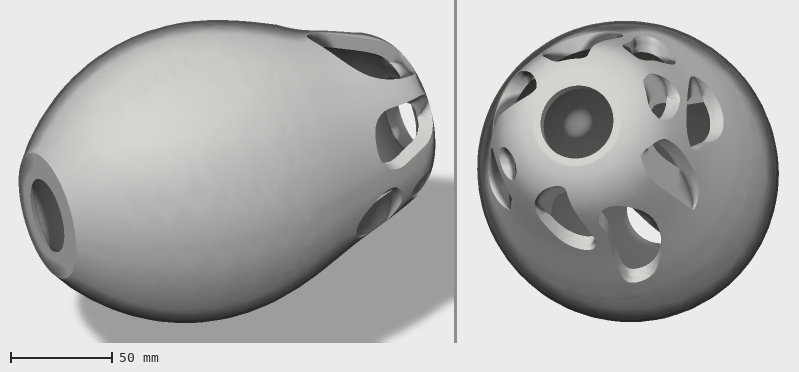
import cadquery as cq
import math

LENGTH = 201.3
PROFILE = [
    (17.5, -9.0), (32.2, 0), (52.3, 20.5), (65.2, 42.3), (73.77, 82.5), (70.9, 107.9), (64.0, 129.8),
    (55.5, 151.5), (48.1, 173.3), (44.3, 183.2), (41.7, 188.4), (36.2, 194.8), (29.8, 198.9), (22.1, 201.3),
]
WALL = 7.5
NECK_BORE_DIAMETER = 36.8

WINDOW_Y = 161.0
CAVITY_STATIONS = 24
CUTTER_LENGTH = 80.5


def outside_curve():
    points = [cq.Vector(radius, y) for radius, y in PROFILE]
    return cq.Edge.makeSpline(points)


def cavity_curve():
    """Outside profile moved inwards, square to itself, by the wall."""
    outside = outside_curve()
    points = []
    for station in range(CAVITY_STATIONS + 1):
        place = station / CAVITY_STATIONS
        along = outside.tangentAt(place).normalized()
        inwards = cq.Vector(-along.y, along.x)
        points.append(outside.positionAt(place) + inwards * WALL)
    return cq.Edge.makeSpline(points)


def turn(curve):
    """Solid of revolution about the Y axis inside a profile curve, trimmed at the foot plane."""
    start = curve.startPoint()
    end = curve.endPoint()
    on_axis = [cq.Vector(0, end.y), cq.Vector(0, start.y)]
    outline = cq.Wire.assembleEdges([
        curve,
        cq.Edge.makeLine(end, on_axis[0]),
        cq.Edge.makeLine(on_axis[0], on_axis[1]),
        cq.Edge.makeLine(on_axis[1], start),
    ])
    solid = cq.Workplane("XY").add(outline).toPending().revolve(360, (0, 0, 0), (0, 1, 0))
    above_foot = cq.Workplane("XZ").rect(2 * LENGTH, 2 * LENGTH).extrude(-2 * LENGTH)
    return solid.intersect(above_foot)


def window(side, tilt, floor_distance, outline):
    """Prism from a window floor outwards.

    The floor leans with the neck by tilt degrees, floor_distance from the axis.
    Outline points are (distance across the neck along +X or +Z, distance up the neck).
    """
    out_x, out_z = side
    lean = math.radians(tilt)
    normal = cq.Vector(out_x * math.cos(lean), math.sin(lean), out_z * math.cos(lean))
    handed = out_z - out_x
    across = cq.Vector(abs(out_z), 0, abs(out_x)) * handed
    floor = cq.Plane(
        origin=cq.Vector(0, WINDOW_Y, 0) + normal * floor_distance,
        xDir=across,
        normal=normal,
    )
    points = [(handed * sideways, up) for sideways, up in outline]
    return cq.Workplane(floor).spline(points, periodic=True).close().extrude(CUTTER_LENGTH)


WINDOW_SIDES = [
    ((-1, 0), 17.0, 39.7, [
        [(25.8, 18.1), (26.2, 7.6), (23.1, -0.5), (18.5, -2.8), (11.5, 0.5), (3.5, 9.0),
         (1.2, 14.7), (6.0, 21.7), (14.0, 22.3), (22.5, 21.0)],
        [(32.2, -28.8), (27.2, -36.8), (17.5, -40.7), (7.5, -39.0), (-0.2, -31.6), (-4.6, -21.3),
         (-8.3, -11.7), (-2.2, -5.5), (5.0, -4.8), (19.1, -11.3), (27.8, -19.1)],
        [(-7.6, 10.9), (-9.7, 1.8), (-16.3, -13.7), (-24.4, -24.5), (-35.0, -28.2), (-36.5, -26.2),
         (-33.5, -10.3), (-29.2, 10.5), (-23.8, 20.1), (-17.7, 24.0), (-12.7, 21.5)],
    ]),
    ((0, 1), 10.0, 33.5, [
        [(-24.8, 16.3), (-18.5, 11.3), (-19.0, -6.6), (-19.5, -24.8), (-24.2, -29.5), (-32.8, -25.5),
         (-39.2, -16.0), (-36.8, -3.5), (-31.8, 7.6)],
        [(-4.5, 27.5), (-7.5, 12.9), (-11.5, -2.8), (-13.3, -14.5), (-8.0, -23.8), (1.6, -20.5),
         (11.7, -14.5), (20.7, -4.5), (22.3, 11.7), (18.7, 22.3), (11.7, 29.2), (3.6, 29.8)],
    ]),
    ((1, 0), 17.0, 30.2, [
        [(19.7, 30.5), (27.2, 24.8), (30.5, 14.5), (32.2, 6.0), (33.8, -6.0), (30.5, -14.0),
         (23.3, -17.5), (13.7, -16.5), (6.0, -5.2), (8.0, 6.0), (9.0, 14.0), (13.0, 26.2)],
    ]),
    ((1, 0), 17.0, 39.7, [
        [(-8.0, -5.0), (-2.6, -13.0), (-6.0, -24.2), (-16.1, -34.2), (-26.2, -30.2), (-32.2, -20.1),
         (-33.2, -8.0), (-24.2, -3.0)],
        [(-9.0, 10.0), (-14.0, 5.6), (-22.1, 8.0), (-24.2, 16.1), (-16.1, 22.1), (-9.0, 18.1)],
    ]),
    ((0, -1), 14.0, 37.5, [
        [(-7.6, 12.0), (-12.0, 15.3), (-25.2, 4.8), (-30.4, -10.5), (-30.5, -25.8), (-27.4, -39.2),
         (-18.7, -51.3), (-10.0, -51.3), (-6.8, -42.3), (-6.8, -20.1), (-6.8, 0.0)],
        [(6.5, 26.2), (4.5, 17.0), (1.0, 2.0), (-0.8, -8.9), (2.5, -19.1), (12.0, -18.1), (22.1, -6.0),
         (26.2, 8.0), (22.1, 20.1), (13.0, 27.2)],
    ]),
]

result = turn(outside_curve())
for side, tilt, floor_distance, outlines in WINDOW_SIDES:
    for outline in outlines:
        result = result.cut(window(side, tilt, floor_distance, outline))

cavity = turn(cavity_curve())
neck_bore = cq.Workplane("XZ").circle(NECK_BORE_DIAMETER / 2).extrude(-LENGTH)
result = result.cut(cavity).cut(neck_bore)